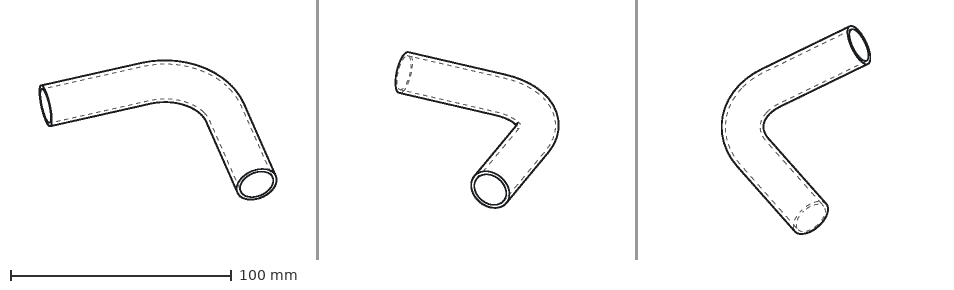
import cadquery as cq

overall_length = 85.7
outer_diameter = 19.0
inner_diameter = 15.8
bend_ratio = 1.5

bend_radius = bend_ratio * outer_diameter
leg_reach = overall_length - outer_diameter / 2


def swept_rod(diameter):
    """Round solid following the elbow centreline, whose corner is at the origin."""
    centreline = (
        cq.Workplane("XY")
        .moveTo(0, -leg_reach)
        .lineTo(0, -bend_radius)
        .radiusArc((bend_radius, 0), bend_radius)
        .lineTo(leg_reach, 0)
    )
    return (
        cq.Workplane("XZ", origin=(0, -leg_reach, 0))
        .circle(diameter / 2)
        .sweep(centreline)
    )


result = swept_rod(outer_diameter).cut(swept_rod(inner_diameter))